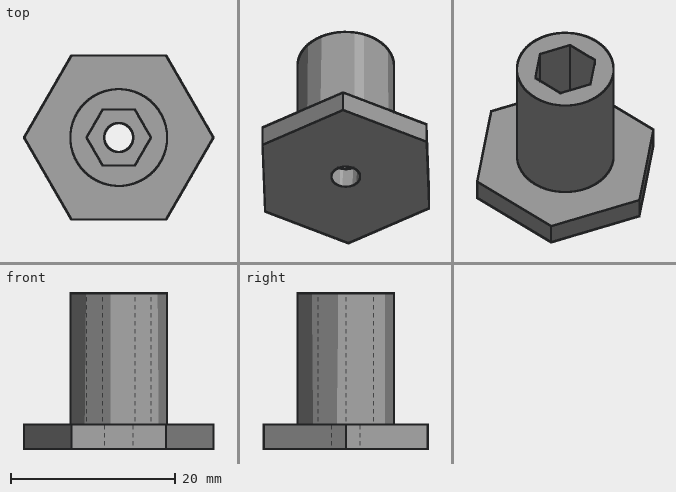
import cadquery as cq
import math

flange_across_flats = 20.0
flange_thickness = 3.0

post_diameter = 11.8
total_height = 19.0
post_height = total_height - flange_thickness

socket_across_flats = 6.8
socket_depth = post_height
through_hole_diameter = 3.5


def hexagonal_prism(across_flats, height, base_z):
    """Upright hexagonal prism with two corners on the X axis."""
    across_corners = across_flats / math.cos(math.pi / 6)
    return cq.Workplane("XY", origin=(0, 0, base_z)).polygon(6, across_corners).extrude(height)


def round_bar(diameter, height, base_z):
    """Upright cylinder centred on the Z axis."""
    return cq.Workplane("XY", origin=(0, 0, base_z)).circle(diameter / 2).extrude(height)


flange = hexagonal_prism(flange_across_flats, flange_thickness, 0)
post = round_bar(post_diameter, post_height, flange_thickness)
socket = hexagonal_prism(socket_across_flats, socket_depth, total_height - socket_depth)
through_hole = round_bar(through_hole_diameter, total_height, 0)

result = flange.union(post).cut(socket).cut(through_hole)